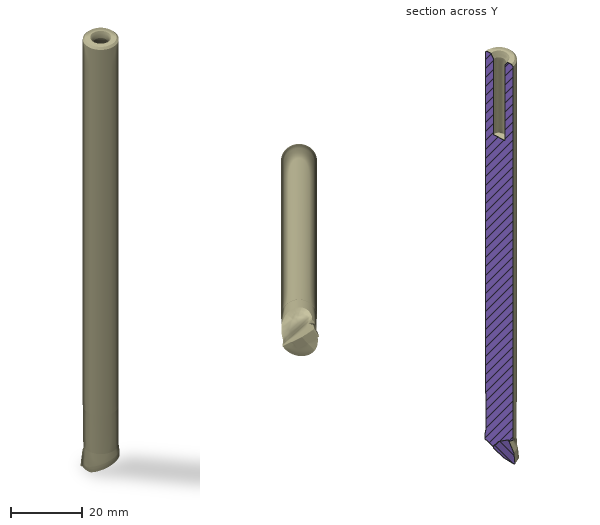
import cadquery as cq
import math

total_length = 151.2
shank_diameter = 10.1
neck_diameter = 10.0
neck_top = 21.2
neck_bottom = 7.5
rim_chamfer = 0.6

coolant_diameter = 4.0
coolant_depth = 30.2
countersink_diameter = 5.9
countersink_angle = 60

head_radius = 5.3
flare_end_height = 3.3

nose_count = 3
inscribed_radius = 3.2
nose_angle = 80
nose_radius = 0.5
insert_thickness = 2.7
clearance_angle = 7
lead_angle = 4
nose_reach = 5.7

rake_slope = 0.1

pocket_radius = 5.5
pocket_curve_start = 8.0
pocket_fall = 0.5

relief_outer = (-1.0, 10.6)
relief_inner = (2.4, 7.4)

end_height = 0.8
end_bend_x = -1.4

reach = 2 * head_radius

end_slope_angle = lead_angle + 180 - 2 * nose_angle
end_slope = math.tan(math.radians(end_slope_angle))


def polar(radius, angle):
    return (radius * math.cos(math.radians(angle)), radius * math.sin(math.radians(angle)))


def shifted(point, offset):
    return (point[0] + offset[0], point[1] + offset[1])


def rake_plane():
    """Plane on the rake face: x runs along it from the nose, y is up and the normal goes into the head."""
    return cq.Plane(origin=(-nose_reach, 0, 0), xDir=(1, rake_slope, 0), normal=(rake_slope, -1, 0))


corner_step = 360 / nose_count
edge_normal_angle = 90 - nose_angle / 2
nose_direction = 180 + lead_angle + nose_angle / 2
nose_centre_distance = (inscribed_radius - nose_radius) / math.sin(math.radians(nose_angle / 2))
blunt_distance = inscribed_radius / math.cos(math.radians(corner_step / 2 - edge_normal_angle))
insert_centre = shifted((nose_radius, nose_radius), polar(-nose_centre_distance, nose_direction))


def make_insert():
    outline = cq.Workplane(rake_plane())
    for corner in range(nose_count):
        direction = nose_direction + corner_step * corner
        nose_centre = shifted(insert_centre, polar(nose_centre_distance, direction))
        arc_start = shifted(nose_centre, polar(nose_radius, direction - edge_normal_angle))
        arc_middle = shifted(nose_centre, polar(nose_radius, direction))
        arc_end = shifted(nose_centre, polar(nose_radius, direction + edge_normal_angle))
        blunt_corner = shifted(insert_centre, polar(blunt_distance, direction + corner_step / 2))
        outline = outline.moveTo(*arc_start) if corner == 0 else outline.lineTo(*arc_start)
        outline = outline.threePointArc(arc_middle, arc_end).lineTo(*blunt_corner)
    return outline.close().extrude(insert_thickness, taper=clearance_angle)


def make_shank():
    shank = (
        cq.Workplane("XY", origin=(0, 0, neck_top))
        .circle(shank_diameter / 2)
        .extrude(total_length - neck_top)
        .faces(">Z")
        .chamfer(rim_chamfer)
    )
    return shank.faces(">Z").workplane().cskHole(
        coolant_diameter, countersink_diameter, countersink_angle, coolant_depth
    )


def make_neck():
    return (
        cq.Workplane("XY", origin=(0, 0, neck_bottom))
        .circle(neck_diameter / 2)
        .extrude(neck_top - neck_bottom)
    )


def make_head():
    """Flare from the neck to a sloped ring, with the head cylinder below that ring."""
    slope = math.radians(end_slope_angle)
    ring_plane = cq.Plane(
        origin=(0, 0, flare_end_height),
        xDir=(math.cos(slope), 0, math.sin(slope)),
        normal=(-math.sin(slope), 0, math.cos(slope)),
    )
    ring = cq.Workplane(ring_plane).ellipse(head_radius / math.cos(slope), head_radius)
    neck_circle = cq.Workplane("XY", origin=(0, 0, neck_bottom)).circle(neck_diameter / 2)
    flare = cq.Workplane(cq.Solid.makeLoft([ring.wires().val(), neck_circle.wires().val()], True))
    above_ring = cq.Workplane(ring_plane).rect(2 * reach, 2 * reach).extrude(reach)
    cylinder = cq.Workplane("XY").circle(head_radius).extrude(neck_bottom).cut(above_ring)
    return cylinder.union(flare)


def chip_pocket():
    """Space above the rake face; its profile is swept across the bar, falling towards +X."""
    quarter_arc_middle = 135
    floor_y = rake_slope * (nose_reach - reach)
    start_z = pocket_curve_start + pocket_fall * reach
    arc_centre = (floor_y + pocket_radius, start_z)
    arc_middle = shifted(arc_centre, polar(pocket_radius, quarter_arc_middle))
    top_z = start_z + pocket_radius
    profile = (
        cq.Workplane("YZ", origin=(-reach, 0, 0))
        .moveTo(floor_y, -reach)
        .lineTo(floor_y, start_z)
        .threePointArc(arc_middle, (floor_y + pocket_radius, top_z))
        .lineTo(reach, top_z)
        .lineTo(reach, -reach)
        .close()
    )
    path = cq.Vector(2 * reach, 2 * reach * rake_slope, -2 * reach * pocket_fall)
    return cq.Workplane(cq.Solid.extrudeLinear(profile.val(), [], path))


def insert_relief():
    """Space outside the insert's upper left edge, as deep as the insert."""
    nose_centre = (nose_radius, nose_radius)
    lower_left = (relief_outer[0], 0)
    corners = [relief_outer, relief_inner, insert_centre, nose_centre, lower_left]
    return cq.Workplane(rake_plane()).polyline(corners).close().extrude(insert_thickness)


def below_end():
    """Space under the bent lower end of the head."""
    end_rise = end_slope * (reach - end_bend_x)
    lead_drop = math.tan(math.radians(lead_angle)) * (reach + end_bend_x)
    return (
        cq.Workplane("XZ")
        .polyline([
            (-reach, end_height - lead_drop),
            (end_bend_x, end_height),
            (reach, end_height + end_rise),
            (reach, -reach),
            (-reach, -reach),
        ])
        .close()
        .extrude(reach, both=True)
    )


insert = make_insert()

bar = make_shank().union(make_neck()).union(make_head())
bar = bar.cut(chip_pocket()).cut(below_end()).cut(insert_relief()).cut(insert)

result = cq.Compound.makeCompound([bar.val(), insert.val()])